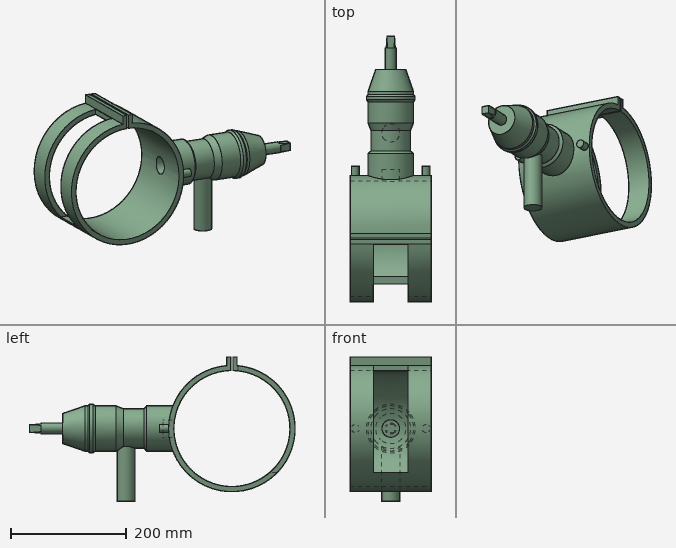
import cadquery as cq

ring_width = 140.0
ring_outer_radius = 109.0
ring_inner_radius = 100.0
ring_middle_radius = (ring_outer_radius + ring_inner_radius) / 2
lug_half_span = 9.0
lug_top = 124.0
split_gap = 3.0

window_width = 59.5
window_bottom = -76.0
window_back = -10.0

body_radius = 39.5
neck_radius = 34.5
flange_radius = 42.0
nose_radius = 26.0
shoulder_start = 147.0
neck_start = 151.5
neck_end = 187.0
barrel_start = 200.0
flange_foot = 235.7
flange_start = 240.0
flange_end = 245.5
flange_top = 248.5
cone_start = 253.5
nose_end = 292.0

shank_radius = 9.5
square_start = 329.5
tip_end = 458.5 - ring_outer_radius
square_base_side = 16.0
square_tip_side = 13.5

handle_radius = 15.5
handle_y = 182.5
handle_bottom = -125.5
pin_radius = 7.0
pin_spacing = 122.0
pin_end = 125.0
bore_radius = 15.0
bore_end = 119.2


def cylinder_along_y(radius, start, end, x=0):
    """Solid cylinder between two Y positions, on the plane Z = 0."""
    return cq.Workplane("XZ", origin=(x, start, 0)).circle(radius).extrude(start - end)


def cylinder_along_x(radius):
    """Solid cylinder on the ring axis, as wide as the ring."""
    return cq.Workplane("YZ").circle(radius).extrude(ring_width / 2, both=True)


def make_ring():
    """Ring with two clamping lugs, split between them and open at the front."""
    lugs = cq.Workplane("XY").box(ring_width, 2 * lug_half_span, lug_top, centered=(True, True, False))
    ring = cylinder_along_x(ring_outer_radius).union(lugs).cut(cylinder_along_x(ring_inner_radius))
    split = cq.Workplane("XY").box(ring_width, split_gap, lug_top, centered=(True, True, False))
    window_size = (window_width, ring_outer_radius, lug_top - window_bottom)
    window = (
        cq.Workplane("XY", origin=(0, window_back - ring_outer_radius, window_bottom))
        .box(*window_size, centered=(True, False, False))
    )
    return ring.cut(split).cut(window)


def make_body():
    """Body of revolution from the ring axis to the nose, as (radius, Y) points."""
    profile = [
        (0, 0),
        (body_radius, 0),
        (body_radius, shoulder_start),
        (neck_radius, neck_start),
        (neck_radius, neck_end),
        (body_radius, barrel_start),
        (body_radius, flange_foot),
        (flange_radius, flange_start),
        (flange_radius, flange_end),
        (body_radius, flange_top),
        (body_radius, cone_start),
        (nose_radius, nose_end),
        (0, nose_end),
    ]
    return cq.Workplane("XY").polyline(profile).close().revolve(360, (0, 0, 0), (0, 1, 0))


def make_shank():
    """Round shank whose end is trimmed to a tapered square."""
    round_part = cylinder_along_y(shank_radius, neck_end, square_start)
    square = (
        cq.Workplane("XZ", origin=(0, square_start, 0))
        .rect(square_base_side, square_base_side)
        .workplane(offset=square_start - tip_end)
        .rect(square_tip_side, square_tip_side)
        .loft(ruled=True)
    )
    tip = square.intersect(cylinder_along_y(shank_radius, square_start, tip_end))
    return round_part.union(tip)


def make_handle():
    """Round handle hanging from the neck of the body."""
    return cq.Workplane("XY", origin=(0, handle_y, 0)).circle(handle_radius).extrude(handle_bottom)


attachments = make_body().union(make_handle())
for side in (-1, 1):
    attachments = attachments.union(cylinder_along_y(pin_radius, 0, pin_end, side * pin_spacing / 2))
attachments = attachments.cut(cylinder_along_x(ring_middle_radius)).union(make_shank())

result = make_ring().union(attachments).cut(cylinder_along_y(bore_radius, 0, bore_end))